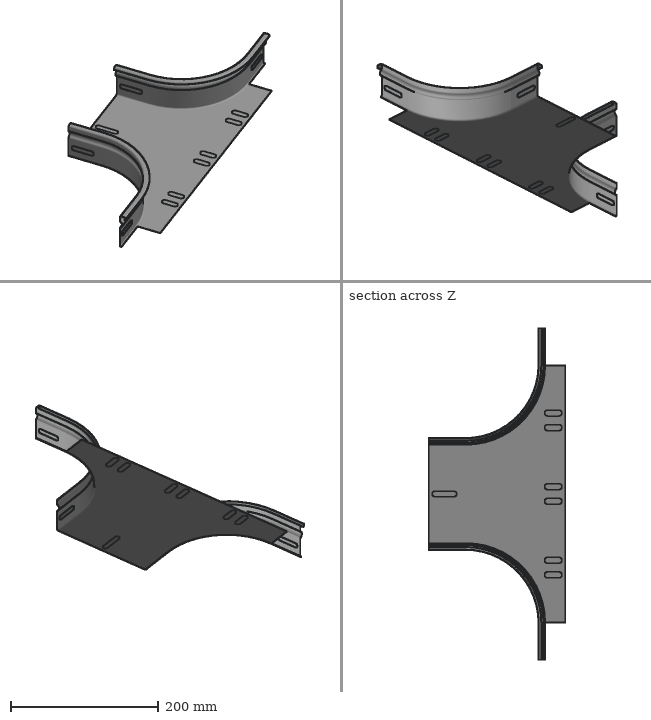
import cadquery as cq
import math


half_length = 225.5
floor_length = 186.3
height = 53.0
sheet = 0.75

coincidence = 4.51e-06

straight_length = 50.5
bend_radius = 98.8
floor_half_width = half_length - straight_length
branch_half_width = floor_half_width - bend_radius
rail_x = straight_length + bend_radius

fold_radius = 2.5
flange_width = 9.5
bead_height = 38.5
bead_depth = 3.5
bead_flank_radius = 3.0
bead_crest_radius = 5.0

press_depth = 0.1
end_slot_length = 33.5
end_slot_width = 7.0
floor_slot_length = 23.5
floor_slot_width = 8.0
slot_margin = 5.0
wall_slot_height = 17.0
end_slot_x = slot_margin + end_slot_length / 2
slot_pair_spacing = 100.0
slot_pair_pitch = 20.0


def rail_folds():
    """Arcs of the rail's outer face from the floor to the flange lip.

    Each is (centre u, centre z, radius, start angle, end angle), with u measured
    inwards from the outer wall face. Straight sheet joins one arc to the next.
    """
    radii = bead_flank_radius + bead_crest_radius
    slope = math.degrees(math.acos(1 - bead_depth / radii))
    rise = radii * math.sin(math.radians(slope))
    flange_fold_z = height - fold_radius
    return [
        (fold_radius, fold_radius, fold_radius, 270, 180),
        (bead_flank_radius, bead_height - rise, bead_flank_radius, 180, 180 - slope),
        (bead_depth - bead_crest_radius, bead_height, bead_crest_radius, -slope, slope),
        (bead_flank_radius, bead_height + rise, bead_flank_radius, 180 + slope, 180),
        (fold_radius, flange_fold_z, fold_radius, 180, 90),
        (flange_width - fold_radius, flange_fold_z, fold_radius, 90, -90),
    ]


def fold_points(fold, depth):
    """Start, middle and end of a fold, on the face lying `depth` inside the outer one."""
    u, z, radius, start, end = fold
    face_radius = radius - depth if end < start else radius + depth
    angles = [math.radians(a) for a in (start, (start + end) / 2, end)]
    return [(u + face_radius * math.cos(a), z + face_radius * math.sin(a)) for a in angles]


def rail_profile(workplane):
    """Closed cross-section of the rail: up its outer face and back down its inner face."""
    outer = [fold_points(fold, 0) for fold in rail_folds()]
    inner = [fold_points(fold, sheet)[::-1] for fold in reversed(rail_folds())]
    here = inner[-1][-1]
    profile = workplane.moveTo(*here)
    for start, middle, end in outer + inner:
        if math.dist(here, start) > coincidence:
            profile = profile.lineTo(*start)
        profile = profile.threePointArc(middle, end)
        here = end
    return profile.close()


def rail():
    """Rail on the -Y side of the branch."""
    branch_plane = cq.Workplane("YZ", origin=(0, -branch_half_width, 0))
    bend_plane = cq.Workplane("YZ", origin=(straight_length, -branch_half_width, 0))
    run_plane = cq.Workplane("XZ", origin=(rail_x, -floor_half_width, 0))
    along_branch = rail_profile(branch_plane).extrude(straight_length)
    bend = rail_profile(bend_plane).revolve(90, (-bend_radius, 0), (-bend_radius, -1))
    along_run = rail_profile(run_plane).extrude(straight_length)
    return along_branch.union(bend).union(along_run)


def floor():
    """Flat floor, ending where the rails start to fold upwards."""
    edge_y = branch_half_width - fold_radius
    edge_x = rail_x + fold_radius
    radius = bend_radius + fold_radius
    arc_x = straight_length + radius * math.sin(math.radians(45))
    arc_y = floor_half_width - radius * math.cos(math.radians(45))
    return (
        cq.Workplane("XY")
        .moveTo(0, -edge_y)
        .lineTo(straight_length, -edge_y)
        .threePointArc((arc_x, -arc_y), (edge_x, -floor_half_width))
        .lineTo(floor_length, -floor_half_width)
        .lineTo(floor_length, floor_half_width)
        .lineTo(edge_x, floor_half_width)
        .threePointArc((arc_x, arc_y), (straight_length, edge_y))
        .lineTo(0, edge_y)
        .close()
        .extrude(sheet)
    )


def pressed_slots(face, centers, length, width):
    """Cutter for slot outlines pressed into the face on which the workplane lies."""
    return face.pushPoints(centers).slot2D(length, width).extrude(press_depth, both=True)


def press_floor(part):
    """Press the branch slot and the three slot pairs along the open edge into the floor."""
    top = cq.Workplane("XY", origin=(0, 0, sheet))
    edge_slot_x = floor_length - slot_margin - floor_slot_length / 2
    edge_slots = [
        (edge_slot_x, pair * slot_pair_spacing + side * slot_pair_pitch / 2)
        for pair in (-1, 0, 1)
        for side in (-1, 1)
    ]
    branch_slot = pressed_slots(top, [(end_slot_x, 0)], end_slot_length, end_slot_width)
    return part.cut(branch_slot).cut(pressed_slots(top, edge_slots, floor_slot_length, floor_slot_width))


def press_rail(part):
    """Press a slot into both faces of the wall at each end of the -Y rail."""
    branch_center = (end_slot_x, wall_slot_height)
    run_center = (end_slot_x - half_length, wall_slot_height)
    for depth in (0, sheet):
        branch_face = cq.Workplane("XZ", origin=(0, depth - branch_half_width, 0))
        run_face = cq.Workplane("YZ", origin=(rail_x + depth, 0, 0))
        part = part.cut(pressed_slots(branch_face, [branch_center], end_slot_length, end_slot_width))
        part = part.cut(pressed_slots(run_face, [run_center], end_slot_length, end_slot_width))
    return part


near_rail = press_rail(rail())
far_rail = near_rail.mirror("XZ")
result = press_floor(floor()).union(near_rail).union(far_rail)